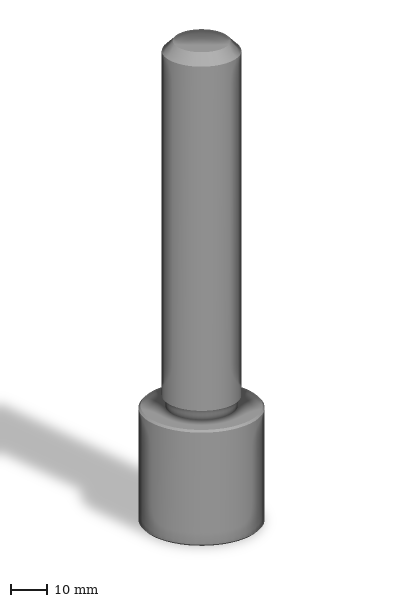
import cadquery as cq

total_length = 145.0
head_diameter = 35.0
head_height = 35.0
head_chamfer = 0.6
neck_diameter = 20.0
neck_height = 3.2
shank_diameter = 22.0
tip_diameter = 16.0
tip_height = 3.0

shank_bottom = head_height + neck_height
shank_length = total_length - shank_bottom
tip_inset = (shank_diameter - tip_diameter) / 2


def cylinder(diameter, bottom, height):
    """Cylinder on the Z axis, rising from the given level."""
    return cq.Workplane("XY").workplane(offset=bottom).circle(diameter / 2).extrude(height)


head = cylinder(head_diameter, 0, head_height).edges("<Z or >Z").chamfer(head_chamfer)

neck = cylinder(neck_diameter, head_height, neck_height)

shank = cylinder(shank_diameter, shank_bottom, shank_length)
shank = shank.faces(">Z").edges().chamfer(tip_height, tip_inset)

result = head.union(neck).union(shank)